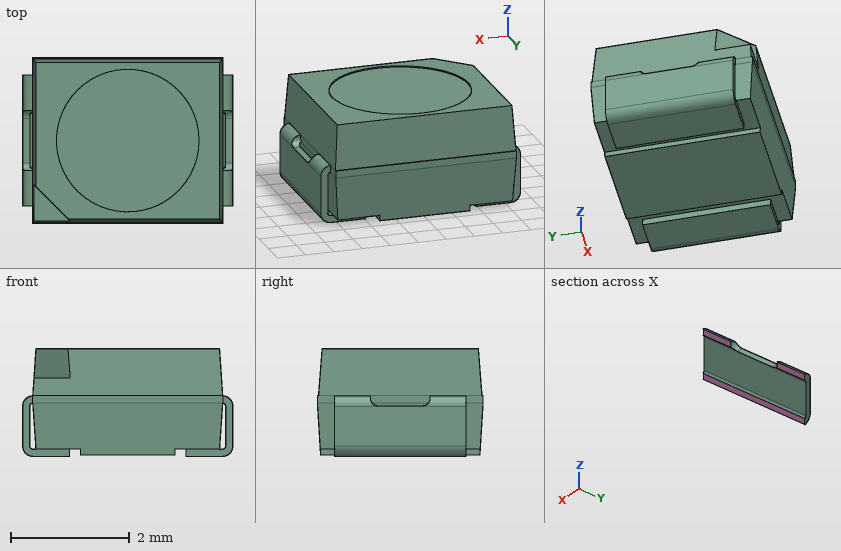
import cadquery as cq

total_length = 3.55
total_height = 1.82

band_length = 3.21
band_width = 2.8
band_bottom = 0.9
band_top = 1.025
upper_base_width = 2.762
top_length = 3.103
top_width = 2.64
bottom_length = 3.09
bottom_width = 2.69

pad_length = 1.598
pad_bottom = 0.025

lens_radius = 1.205
lens_depth = 0.02
mark_floor = 1.328
mark_offset = 2.33

lead_thickness = 0.125
lead_width = 2.215
lead_embedment = 0.035
lead_bend_radius = 0.178
inner_bend_radius = lead_bend_radius - lead_thickness
foot_inner_end = 0.98
notch_width = 1.008
notch_floor = 0.855
notch_corner_radius = 0.128

body_bottom = lead_thickness


def tapered_block(z_low, low_size, z_high, high_size):
    return (
        cq.Workplane("XY")
        .workplane(offset=z_low)
        .rect(*low_size)
        .workplane(offset=z_high - z_low)
        .rect(*high_size)
        .loft(ruled=True, combine=True)
    )


def make_body():
    lower = tapered_block(
        pad_bottom, (bottom_length, bottom_width), band_bottom, (band_length, band_width)
    )
    band = tapered_block(
        band_bottom, (band_length, band_width), band_top, (band_length, band_width)
    )
    upper = tapered_block(
        band_top, (band_length, upper_base_width), total_height, (top_length, top_width)
    )
    relief_length = (band_length - pad_length) / 2
    relief_height = body_bottom - pad_bottom
    reliefs = (
        cq.Workplane("XY")
        .workplane(offset=pad_bottom)
        .rarray(pad_length + relief_length, 0.035, 2, 1)
        .rect(relief_length, band_width)
        .extrude(relief_height)
    )
    return lower.cut(reliefs).union(band).union(upper)


def make_lens_recess():
    return (
        cq.Workplane("XY")
        .workplane(offset=total_height - lens_depth)
        .circle(lens_radius)
        .extrude(lens_depth)
    )


def make_corner_mark():
    """Triangular prism that cuts the -X, -Y corner down to the mark floor."""
    corner_x = -band_length / 2
    corner_y = -band_width / 2
    return (
        cq.Workplane("XY")
        .workplane(offset=mark_floor)
        .polyline([
            (corner_x, corner_y),
            (-mark_offset - corner_y, corner_y),
            (corner_x, -mark_offset - corner_x),
        ])
        .close()
        .extrude(total_height - mark_floor)
    )


def make_lead():
    """C-shaped lead on the +X side, with a notch in its upper bend."""
    outer_x = total_length / 2
    embedded_x = band_length / 2 - lead_embedment
    inner_x = outer_x - lead_thickness
    outline = (
        cq.Workplane("XZ")
        .polyline([
            (foot_inner_end, 0),
            (outer_x, 0),
            (outer_x, band_top),
            (embedded_x, band_top),
            (embedded_x, band_top - lead_thickness),
            (inner_x, band_top - lead_thickness),
            (inner_x, lead_thickness),
            (foot_inner_end, lead_thickness),
        ])
        .close()
        .extrude(lead_width / 2, both=True)
    )
    inner_bends = cq.selectors.BoxSelector(
        ((embedded_x + inner_x) / 2, -lead_width, lead_thickness / 2),
        (outer_x - lead_thickness / 2, lead_width, band_top - lead_thickness / 2),
    )
    lead = outline.edges("|Y and >X").fillet(lead_bend_radius)
    lead = lead.edges("|Y").edges(inner_bends).fillet(inner_bend_radius)

    notch_height = band_top - notch_floor
    notch = (
        cq.Workplane("XY")
        .workplane(offset=notch_floor)
        .center((outer_x + embedded_x) / 2, 0)
        .rect(outer_x - embedded_x, notch_width)
        .extrude(notch_height)
        .edges("|X and <Z")
        .fillet(notch_corner_radius)
    )
    return lead.cut(notch)


body = make_body().cut(make_lens_recess()).cut(make_corner_mark())
right_lead = make_lead()
left_lead = right_lead.mirror("YZ")
result = body.union(right_lead).union(left_lead)